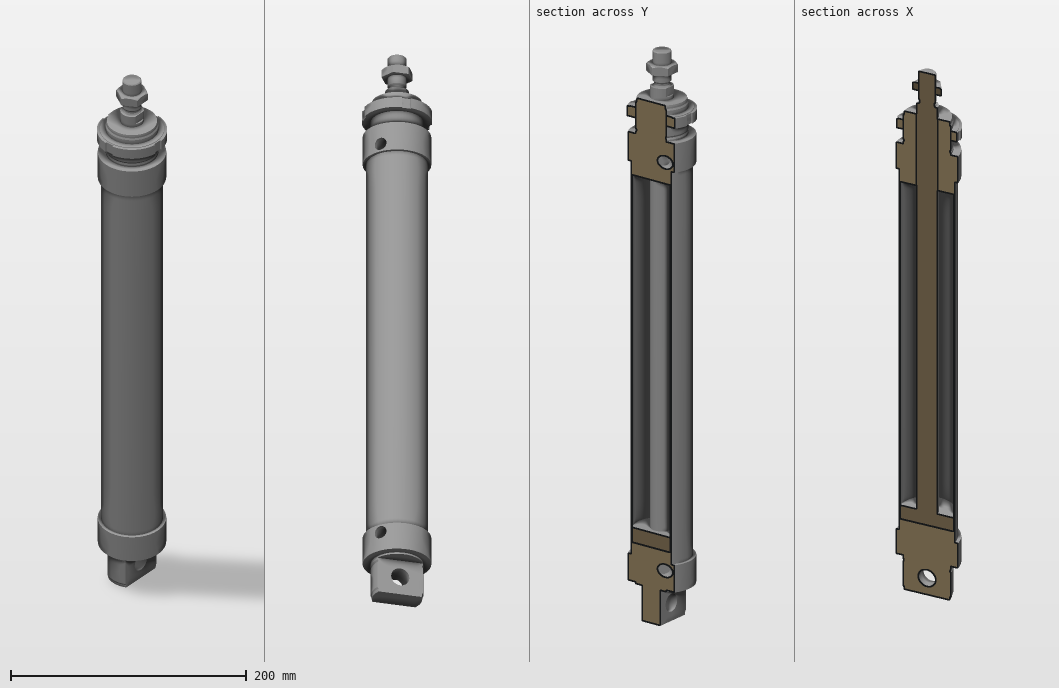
import cadquery as cq
import math

rear_thread_bottom = 4.0
rear_thread_top = 27.5
clevis_top = 32.0
rear_cap_bottom = 33.5
rear_cap_top = 58.0
front_cap_bottom = 413.5
front_cap_top = 440.0
front_thread_bottom = 444.5
front_thread_top = 468.0
gland_top = 472.5
rod_shoulder = 483.0
rod_thread_bottom = 488.0
rod_end = 515.0

taper_height = 1.5

tube_diameter = 52.5
bore_diameter = 50.0
cap_diameter = 58.0
thread_diameter = 45.0
thread_relief_diameter = 43.5
thread_tip_diameter = 43.0
rear_plug_length = 11.0
front_plug_length = 12.5
clevis_thickness = 20.0
clevis_hole_diameter = 16.0
clevis_hole_height = 16.5
port_diameter = 11.5
port_depth = 15.5
port_inset = 7.0
port_angle = 135

rod_diameter = 20.0
rod_thread_diameter = 16.0
rod_neck_diameter = 14.0
rod_tip_chamfer = 0.75
rod_flat_width = 17.0
rod_flat_length = 7.5
piston_length = 13.5

rod_nut_flats = 23.5
rod_nut_bottom = 495.5
rod_nut_height = 7.5
rod_nut_chamfer_angle = 30

ring_nut_diameter = 60.0
ring_nut_bottom = 454.0
ring_nut_height = 10.0
ring_face_diameter = 54.5
ring_face_height = 0.5
ring_slot_width = 7.5
ring_slot_depth = 1.5
ring_slot_count = 4

bore_bottom = rear_cap_top + rear_plug_length
bore_top = front_cap_bottom - front_plug_length


def cylinder(diameter, bottom, top):
    """Solid cylinder on the Z axis between two heights."""
    return cq.Workplane("XY").workplane(offset=bottom).circle(diameter / 2).extrude(top - bottom)


def turned(profile):
    """Solid turned about the Z axis from (diameter, height) corners listed from bottom to top."""
    corners = [(diameter / 2, height) for diameter, height in profile]
    on_axis = [(0, corners[-1][1]), (0, corners[0][1])]
    return cq.Workplane("XZ").polyline(corners + on_axis).close().revolve(360, (0, 0), (0, 1))


def make_clevis():
    """Threaded stub with a relief groove, two parallel flats and a cross hole."""
    stub = turned(
        [
            (thread_tip_diameter, 0),
            (thread_relief_diameter, taper_height),
            (thread_relief_diameter, rear_thread_bottom - taper_height),
            (thread_diameter, rear_thread_bottom),
            (thread_diameter, rear_thread_top),
            (thread_relief_diameter, rear_thread_top + taper_height),
            (thread_diameter, rear_thread_top + 2 * taper_height),
            (thread_diameter, clevis_top),
        ]
    )
    slab = cq.Workplane("XY").box(clevis_thickness, cap_diameter, clevis_top, centered=(True, True, False))
    hole = (
        cq.Workplane("YZ")
        .center(0, clevis_hole_height)
        .circle(clevis_hole_diameter / 2)
        .extrude(clevis_thickness / 2, both=True)
    )
    return stub.intersect(slab).cut(hole)


def make_port(height):
    """Blind radial port, as a cutter."""
    angle = math.radians(port_angle)
    outward = cq.Vector(math.cos(angle), math.sin(angle), 0)
    floor = outward * (cap_diameter / 2 - port_depth) + cq.Vector(0, 0, height)
    return cq.Workplane(cq.Plane(floor, (0, 0, 1), outward)).circle(port_diameter / 2).extrude(2 * port_depth)


def make_housing():
    """Tube, both end caps, threaded gland and clevis as one body."""
    body = turned(
        [
            (thread_diameter, clevis_top),
            (thread_diameter, rear_cap_bottom),
            (cap_diameter, rear_cap_bottom),
            (cap_diameter, rear_cap_top),
            (tube_diameter, rear_cap_top),
            (tube_diameter, front_cap_bottom),
            (cap_diameter, front_cap_bottom),
            (cap_diameter, front_cap_top),
            (thread_diameter, front_cap_top),
            (thread_diameter, front_thread_bottom - 2 * taper_height),
            (thread_relief_diameter, front_thread_bottom - taper_height),
            (thread_diameter, front_thread_bottom),
            (thread_diameter, front_thread_top),
            (thread_relief_diameter, front_thread_top + taper_height),
            (thread_relief_diameter, gland_top - taper_height),
            (thread_tip_diameter, gland_top),
        ]
    )
    body = body.union(make_clevis())
    for height in (rear_cap_top - port_inset, front_cap_bottom + port_inset):
        body = body.cut(make_port(height))
    bore = cylinder(bore_diameter, bore_bottom, bore_top)
    rod_hole = cylinder(rod_diameter, bore_top, gland_top)
    return body.cut(bore).cut(rod_hole)


def make_rod():
    """Piston and rod, with wrench flats and a threaded end."""
    piston_top = bore_bottom + piston_length
    rod = turned(
        [
            (bore_diameter, bore_bottom),
            (bore_diameter, piston_top),
            (rod_diameter, piston_top),
            (rod_diameter, rod_shoulder),
            (rod_thread_diameter, rod_shoulder),
            (rod_neck_diameter, rod_shoulder + taper_height),
            (rod_neck_diameter, rod_thread_bottom - taper_height),
            (rod_thread_diameter, rod_thread_bottom),
            (rod_thread_diameter, rod_end),
        ]
    )
    rod = rod.faces(">Z").chamfer(rod_tip_chamfer)
    flat_depth = (rod_diameter - rod_flat_width) / 2
    for side in (-1, 1):
        flat = cq.Workplane("XY").box(flat_depth, rod_diameter, rod_flat_length).translate(
            (side * (rod_flat_width + flat_depth) / 2, 0, rod_shoulder - rod_flat_length / 2)
        )
        rod = rod.cut(flat)
    return rod


def make_rod_nut():
    """Hexagon nut with its flats facing X and its corners chamfered at the top."""
    corner_diameter = rod_nut_flats / math.cos(math.pi / 6)
    nut_top = rod_nut_bottom + rod_nut_height
    chamfer_height = (corner_diameter - rod_nut_flats) / 2 * math.tan(math.radians(rod_nut_chamfer_angle))
    hexagon = (
        cq.Workplane("XY")
        .workplane(offset=rod_nut_bottom)
        .transformed(rotate=(0, 0, 90))
        .polygon(6, corner_diameter)
        .circle(rod_thread_diameter / 2)
        .extrude(rod_nut_height)
    )
    chamfered_blank = turned(
        [
            (corner_diameter, rod_nut_bottom),
            (corner_diameter, nut_top - chamfer_height),
            (rod_nut_flats, nut_top),
        ]
    )
    return hexagon.intersect(chamfered_blank)


def make_ring_nut():
    """Round nut with a raised upper face and spanner slots around its rim."""
    ring_top = ring_nut_bottom + ring_nut_height
    ring = turned(
        [
            (ring_nut_diameter, ring_nut_bottom),
            (ring_nut_diameter, ring_top - ring_face_height),
            (ring_face_diameter, ring_top - ring_face_height),
            (ring_face_diameter, ring_top),
        ]
    )
    ring = ring.cut(cylinder(thread_diameter, ring_nut_bottom, ring_top))
    slots = (
        cq.Workplane("XY")
        .workplane(offset=ring_nut_bottom)
        .polarArray(ring_nut_diameter / 2, 0, 360, ring_slot_count)
        .rect(2 * ring_slot_depth, ring_slot_width)
        .extrude(ring_nut_height)
    )
    return ring.cut(slots)


housing = make_housing()
rod = make_rod()
rod_nut = make_rod_nut()
ring_nut = make_ring_nut()

result = cq.Compound.makeCompound([housing.val(), rod.val(), rod_nut.val(), ring_nut.val()])